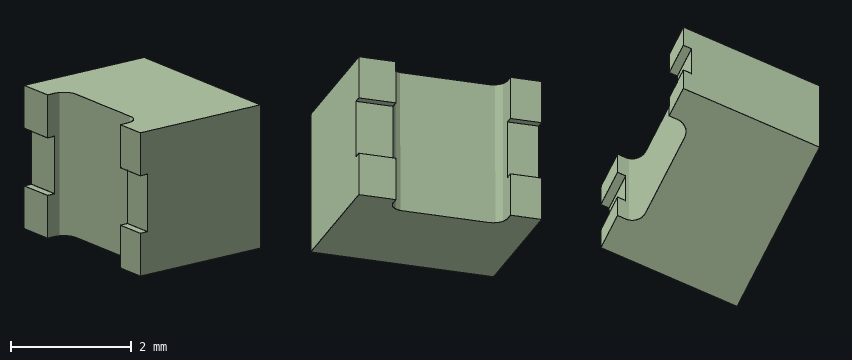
import cadquery as cq

length = 3.2
depth = 2.5
height = 2.5
front = -depth / 2

left_foot_width = 0.65
right_foot_width = 0.55
channel_depth = 0.4
channel_corner_radius = 0.25

notch_depth = 0.15
notch_height = 1.0


def make_channel():
    """Vertical channel with its two inner corners rounded."""
    width = length - left_foot_width - right_foot_width
    center_x = (left_foot_width - right_foot_width) / 2
    return (
        cq.Workplane("XY")
        .box(width, channel_depth, height)
        .edges("|Z and >Y")
        .fillet(channel_corner_radius)
        .translate((center_x, front + channel_depth / 2, 0))
    )


def make_notch():
    """Horizontal slot that splits each foot into two pads."""
    return cq.Workplane("XY").box(length, notch_depth, notch_height).translate((0, front + notch_depth / 2, 0))


block = cq.Workplane("XY").box(length, depth, height)
result = block.cut(make_channel()).cut(make_notch())